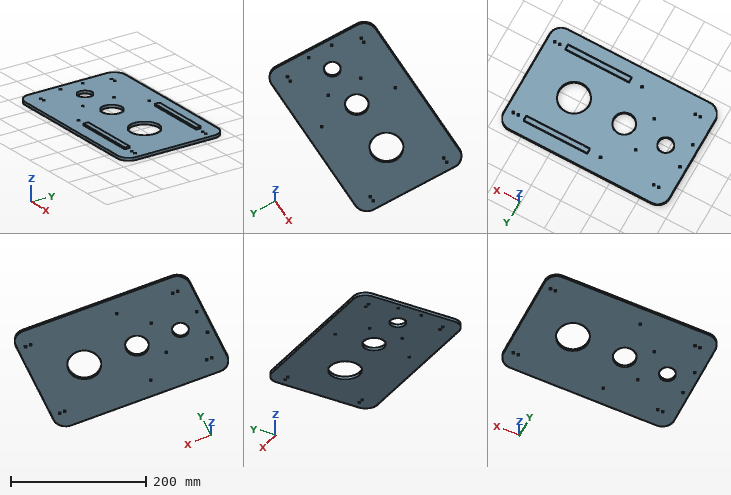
import cadquery as cq

plate_length = 280
plate_width = 180.0
plate_thickness = 5.0
corner_radius = 20.0

openings = [(-95.0, 25.0), (-25.0, 35.0), (60.0, 50.0)]

screw_diameter = 3.0
edge_row_y = 63.5
edge_row_x = [-118.0, -109.8, -20.0, 119.0, 127.0]
end_pair = (-130.0, 20.0)
middle_pair = (-60.0, 28)
screw_pairs = [(x, edge_row_y) for x in edge_row_x] + [end_pair, middle_pair]

rail_start_x = 0
rail_length = 107.5
rail_width = 8.5
rail_height = 3.0
rail_center_y = 64.0


def make_plate():
    plate = cq.Workplane("XY").box(plate_length, plate_width, plate_thickness, centered=(True, True, False))
    return plate.edges("|Z").fillet(corner_radius)


def make_rails():
    rail_center_x = rail_start_x + rail_length / 2
    return (
        cq.Workplane("XY", origin=(0, 0, plate_thickness))
        .pushPoints([(rail_center_x, side * rail_center_y) for side in (-1, 1)])
        .box(rail_length, rail_width, rail_height, centered=(True, True, False))
    )


def cut_openings(body):
    for x, diameter in openings:
        body = body.cut(cq.Workplane("XY").center(x, 0).circle(diameter / 2).extrude(plate_thickness))
    return body


def cut_screw_holes(body):
    points = [(x, side * y) for x, y in screw_pairs for side in (-1, 1)]
    holes = cq.Workplane("XY").pushPoints(points).circle(screw_diameter / 2).extrude(plate_thickness)
    return body.cut(holes)


result = cut_screw_holes(cut_openings(make_plate())).union(make_rails())